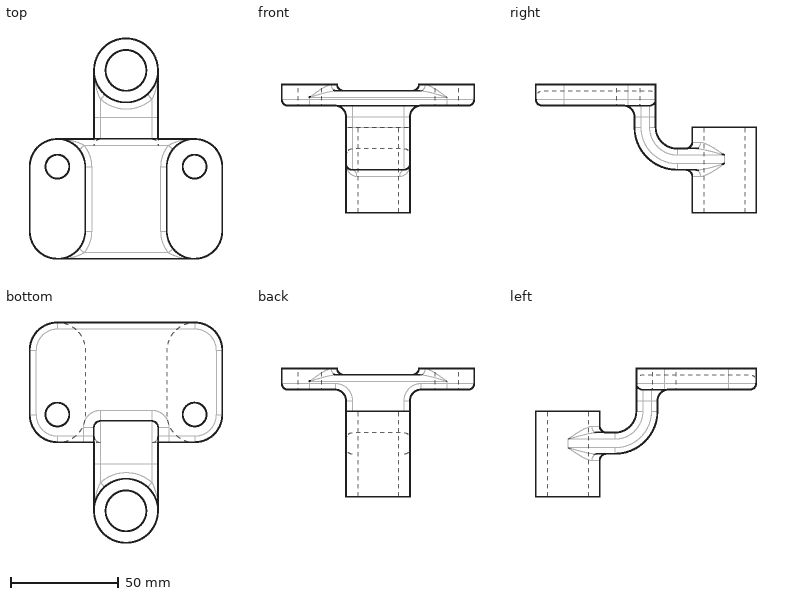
import cadquery as cq

total_length = 103.0

plate_width = 90.0
plate_depth = 56.0
pad_height = 10.0
pad_step = 3.0
pad_radius = 13.0
pad_hole_diameter = 11.0

hub_diameter = 30.0
bore_diameter = 19.0
hub_height = 40.1
hub_top = -20.0

arm_width = hub_diameter
arm_thickness = 10.0
bend_inner_radius = 10.0

edge_round = 3.0
hub_blend = 3.0
arm_blend = 5.0
pad_blend_margin = 0.02

hub_radius = hub_diameter / 2
hub_y = total_length - hub_radius
bend_outer_radius = bend_inner_radius + arm_thickness
bend_y = plate_depth + bend_inner_radius
bend_z = hub_top
arm_top = bend_z - bend_inner_radius
arm_bottom = bend_z - bend_outer_radius
arm_front = plate_depth - arm_thickness
pad_x = plate_width / 2 - pad_radius
pad_inner_x = pad_x - pad_radius
pad_base = edge_round - pad_height
pad_blend = pad_step - pad_blend_margin
pad_hole_y = plate_depth - pad_radius


def fillet_near(body, point, radius):
    """Fillet the edge nearest a point, together with the edges that continue it smoothly."""
    return body.edges(cq.NearestToPointSelector(point)).fillet(radius)


def make_plate():
    """Plate with rounded corners and a rounded upper edge; its lower edge is still square."""
    thickness = pad_height - pad_step
    plate = cq.Workplane("XY").box(plate_width, plate_depth, thickness, centered=(True, False, False))
    plate = plate.translate((0, 0, -pad_height)).edges("|Z").fillet(pad_radius)
    return plate.faces(">Z").edges().fillet(edge_round)


def make_arm():
    """Arm with its outer-bend edges rounded; its inner-bend edges are still square."""
    profile = (
        cq.Workplane("YZ")
        .moveTo(hub_y, arm_top)
        .lineTo(bend_y, arm_top)
        .radiusArc((plate_depth, bend_z), bend_inner_radius)
        .lineTo(plate_depth, -pad_height)
        .lineTo(arm_front, -pad_height)
        .lineTo(arm_front, bend_z)
        .radiusArc((bend_y, arm_bottom), -bend_outer_radius)
        .lineTo(hub_y, arm_bottom)
        .close()
    )
    arm = profile.extrude(arm_width / 2, both=True)
    return arm.faces("<Z").edges("|Y").fillet(edge_round)


def make_plate_and_arm():
    body = make_plate().union(make_arm())
    body = fillet_near(body, (0, arm_front, -pad_height), arm_blend)
    return fillet_near(body, (0, 0, -pad_height), edge_round)


def add_pad(body, side):
    """Add a round-ended pad with a hole, blended into the plate; side is -1 or 1."""
    pad = cq.Workplane("XY").slot2D(plate_depth, 2 * pad_radius, 90).extrude(pad_base)
    body = body.union(pad.translate((side * pad_x, plate_depth / 2, 0)))
    body = fillet_near(body, (side * pad_inner_x, plate_depth / 2, -pad_step), pad_blend)
    hole = cq.Workplane("XY").circle(pad_hole_diameter / 2).extrude(-pad_height)
    return body.cut(hole.translate((side * pad_x, pad_hole_y, 0)))


def add_hub(body):
    """Add the bored hub, blended into the arm above and below."""
    hub = cq.Workplane("XY").circle(hub_radius).extrude(-hub_height).rotate((0, 0, 0), (0, 0, 1), -90)
    body = body.union(hub.translate((0, hub_y, hub_top)))
    for arm_face_z in (arm_top, arm_bottom):
        body = fillet_near(body, (hub_radius / 2, hub_y - hub_radius, arm_face_z), hub_blend)
    bore = cq.Workplane("XY").circle(bore_diameter / 2).extrude(-hub_height)
    return body.cut(bore.translate((0, hub_y, hub_top)))


result = make_plate_and_arm()
for side in (-1, 1):
    result = add_pad(result, side)
result = add_hub(result)